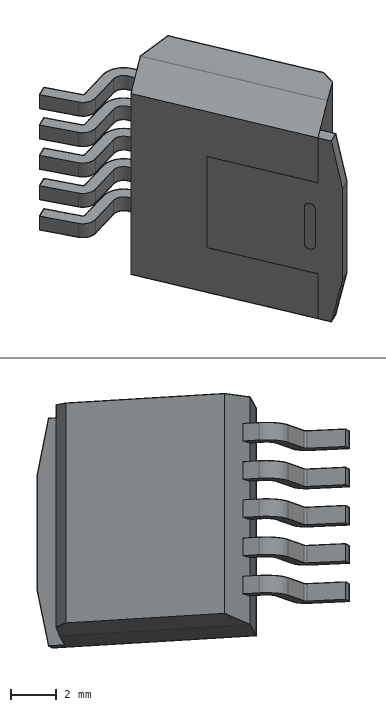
import cadquery as cq
import math


LENGTH = 14.2
HEIGHT = 4.57
WIDTH = 10.15

PARTING_Y = 2.6
HOUSING_NOSE_X = 3.73
HOUSING_BASE_X = 4.29
HOUSING_TAIL_X = 13.05
TAIL_DRAFT = 11.8
CHAMFER_LENGTH_X = 0.62
CHAMFER_DROP_Y = 0.54
SIDE_DRAFT = 5.0

SHEET = 0.55

TONGUE_START_X = 7.84
TONGUE_WIDTH = 5.11
TAB_CORNER_X = 13.67
SLOT_CENTRE_X = 12.67
SLOT_WIDTH = 0.51
SLOT_LENGTH = TONGUE_WIDTH / 2

LEAD_COUNT = 5
LEAD_PITCH = 1.7
LEAD_WIDTH = 0.78
FOOT_TILT = 4.0
LEG_LEAN = 10.0
HEEL_X = 2.06
HEEL_RADIUS = 0.1
KNEE_RADIUS = 0.51


def tail_x(y):
    """X of the tab-end housing face at height y."""
    return HOUSING_TAIL_X - y * math.tan(math.radians(TAIL_DRAFT))


def nose_x(y):
    """X of the lead-end housing face at height y, above the parting line."""
    slope = (HOUSING_BASE_X - HOUSING_NOSE_X) / (HEIGHT - PARTING_Y)
    return HOUSING_NOSE_X + (y - PARTING_Y) * slope


def make_housing_blank():
    """Moulded block before the tab recess is cut."""
    chamfer_y = HEIGHT - CHAMFER_DROP_Y
    chamfer_x = tail_x(chamfer_y)
    side_profile = [
        (HOUSING_BASE_X, 0),
        (HOUSING_TAIL_X, 0),
        (chamfer_x, chamfer_y),
        (chamfer_x - CHAMFER_LENGTH_X, HEIGHT),
        (HOUSING_BASE_X, HEIGHT),
        (HOUSING_NOSE_X, PARTING_Y),
    ]
    block = cq.Workplane("XY").polyline(side_profile).close().extrude(WIDTH / 2, both=True)

    half_base = WIDTH / 2
    half_top = half_base - (HEIGHT - PARTING_Y) * math.tan(math.radians(SIDE_DRAFT))
    end_profile = [
        (0, -half_base),
        (PARTING_Y, -half_base),
        (HEIGHT, -half_top),
        (HEIGHT, half_top),
        (PARTING_Y, half_base),
        (0, half_base),
    ]
    envelope = cq.Workplane("YZ").polyline(end_profile).close().extrude(LENGTH)
    return block.intersect(envelope)


def make_tab():
    """T-shaped heat tab: tongue under the housing, flange butting on its sloped face."""
    flange_profile = [
        (HOUSING_TAIL_X, 0),
        (LENGTH, 0),
        (LENGTH, SHEET),
        (tail_x(SHEET), SHEET),
    ]
    flange = cq.Workplane("XY").polyline(flange_profile).close().extrude(WIDTH / 2, both=True)

    for side in (-1, 1):
        corner = [
            (TAB_CORNER_X, side * WIDTH / 2),
            (LENGTH, side * WIDTH / 2),
            (LENGTH, side * TONGUE_WIDTH / 2),
        ]
        flange = flange.cut(cq.Workplane("XZ").polyline(corner).close().extrude(-SHEET))

    tongue_length = HOUSING_TAIL_X - TONGUE_START_X
    tongue = (
        cq.Workplane("XY")
        .box(tongue_length, SHEET, TONGUE_WIDTH, centered=(False, False, True))
        .translate((TONGUE_START_X, 0, 0))
    )
    slot = (
        cq.Workplane("XZ")
        .center(SLOT_CENTRE_X, 0)
        .slot2D(SLOT_LENGTH, SLOT_WIDTH, 90)
        .extrude(-SHEET)
    )
    return flange.union(tongue).cut(slot)


def make_lead(z):
    """Gull-wing lead centred at z, ending on the sloped housing face."""
    tilt = math.radians(FOOT_TILT)
    lean = math.radians(LEG_LEAN)
    leg_angle = math.pi / 2 - lean
    shoulder_bottom = PARTING_Y
    shoulder_top = shoulder_bottom + SHEET

    foot_rise = SHEET / math.cos(tilt)
    heel = (HEEL_X, foot_rise / 2 + HEEL_X * math.tan(tilt))
    knee_y = (shoulder_bottom + shoulder_top) / 2
    knee = (HEEL_X + (knee_y - heel[1]) * math.tan(lean), knee_y)

    def mitre(corner, angle_in, angle_out, side):
        """Outline corner on one side (1 left, -1 right) of a centreline corner."""
        normal = (angle_in + angle_out) / 2 + math.pi / 2
        reach = side * SHEET / 2 / math.cos((angle_out - angle_in) / 2)
        return (corner[0] + reach * math.cos(normal), corner[1] + reach * math.sin(normal))

    heel_inside = mitre(heel, tilt, leg_angle, 1)
    heel_outside = mitre(heel, tilt, leg_angle, -1)
    knee_outside = mitre(knee, leg_angle, 0, 1)
    knee_inside = mitre(knee, leg_angle, 0, -1)
    outline = [
        (0, 0),
        heel_outside,
        knee_inside,
        (nose_x(shoulder_bottom), shoulder_bottom),
        (nose_x(shoulder_top), shoulder_top),
        knee_outside,
        heel_inside,
        (0, foot_rise),
    ]
    lead = cq.Workplane("XY").polyline(outline).close().extrude(LEAD_WIDTH / 2, both=True)

    bends = [
        (heel_inside, HEEL_RADIUS),
        (heel_outside, HEEL_RADIUS + SHEET),
        (knee_inside, KNEE_RADIUS),
        (knee_outside, KNEE_RADIUS + SHEET),
    ]
    for (x, y), radius in bends:
        lead = lead.edges(cq.selectors.NearestToPointSelector((x, y, 0))).fillet(radius)
    return lead.translate((0, 0, z)).solids()


tab = make_tab().solids()
housing = make_housing_blank().cut(tab).solids()

first_lead_z = -LEAD_PITCH * (LEAD_COUNT - 1) / 2
leads = [make_lead(first_lead_z + i * LEAD_PITCH) for i in range(LEAD_COUNT)]

result = cq.Compound.makeCompound([housing.val(), tab.val(), *[lead.val() for lead in leads]])